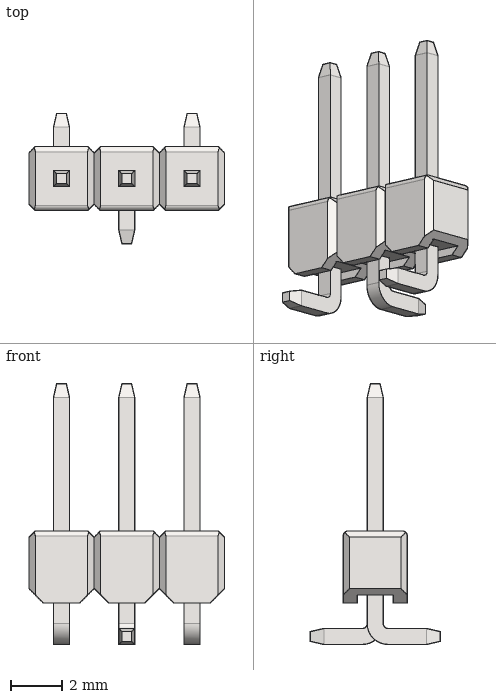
import cadquery as cq
import math

pin_count = 3
pitch = 2.54

pin_height = 10.16
foot_reach = 2.54
wire = 0.63
inner_bend_radius = 0.19
outer_bend_radius = inner_bend_radius + wire
tip_length = 0.54
tip_width = 0.38

housing_width = pitch
housing_depth = 2.5
housing_bottom = 1.61
housing_height = 2.82
edge_chamfer = 0.25
bottom_chamfer = 0.57
top_edge_radius = 0.21
channel_width = 1.4
channel_depth = 0.31


def make_housing():
    """Block centred on the Z axis, the common volume of its outlines along Y, Z and X."""
    half_width = housing_width / 2
    top = housing_bottom + housing_height

    housing = (
        cq.Workplane("XZ")
        .moveTo(-half_width + bottom_chamfer, housing_bottom)
        .lineTo(half_width - bottom_chamfer, housing_bottom)
        .lineTo(half_width, housing_bottom + bottom_chamfer)
        .lineTo(half_width, top - edge_chamfer)
        .lineTo(half_width - edge_chamfer, top)
        .lineTo(-half_width + edge_chamfer, top)
        .lineTo(-half_width, top - edge_chamfer)
        .lineTo(-half_width, housing_bottom + bottom_chamfer)
        .close()
        .extrude(housing_depth / 2, both=True)
    )

    upright_block = (
        cq.Workplane("XY", origin=(0, 0, housing_bottom))
        .rect(housing_width, housing_depth)
        .extrude(housing_height)
        .edges("|Z")
        .chamfer(edge_chamfer)
    )

    rounded_block = (
        cq.Workplane("XY", origin=(0, 0, housing_bottom))
        .rect(housing_width, housing_depth)
        .extrude(housing_height)
        .edges("|X and >Z")
        .fillet(top_edge_radius)
    )

    channel = (
        cq.Workplane("XY", origin=(0, 0, housing_bottom))
        .rect(housing_width, channel_width)
        .extrude(channel_depth)
    )
    pin_hole = (
        cq.Workplane("XY", origin=(0, 0, housing_bottom))
        .rect(wire, wire)
        .extrude(housing_height)
    )
    return housing.intersect(upright_block).intersect(rounded_block).cut(channel).cut(pin_hole)


def make_tip(base_plane):
    """Square end of the wire, tapering away from the base plane."""
    taper_angle = math.degrees(math.atan((wire - tip_width) / 2 / tip_length))
    return cq.Workplane(base_plane).rect(wire, wire).extrude(tip_length, taper=taper_angle)


def make_pin():
    """Upright pin on the Z axis with its foot pointing towards +Y."""
    half_wire = wire / 2
    upright_end = pin_height - tip_length
    foot_end = foot_reach - tip_length
    bend_y = half_wire + inner_bend_radius
    bend_z = wire + inner_bend_radius
    diagonal = math.sqrt(0.5)

    shank = (
        cq.Workplane("YZ")
        .moveTo(half_wire, upright_end)
        .lineTo(half_wire, bend_z)
        .threePointArc(
            (bend_y - inner_bend_radius * diagonal, bend_z - inner_bend_radius * diagonal),
            (bend_y, wire),
        )
        .lineTo(foot_end, wire)
        .lineTo(foot_end, 0)
        .lineTo(bend_y, 0)
        .threePointArc(
            (bend_y - outer_bend_radius * diagonal, bend_z - outer_bend_radius * diagonal),
            (-half_wire, bend_z),
        )
        .lineTo(-half_wire, upright_end)
        .close()
        .extrude(half_wire, both=True)
    )
    top_tip = make_tip(cq.Plane(origin=(0, 0, upright_end), xDir=(1, 0, 0), normal=(0, 0, 1)))
    foot_tip = make_tip(cq.Plane(origin=(0, foot_end, half_wire), xDir=(1, 0, 0), normal=(0, 1, 0)))
    return shank.union(top_tip).union(foot_tip)


housing = make_housing()
pin = make_pin()

bodies = []
for index in range(pin_count):
    place = (pitch * (index - (pin_count - 1) / 2), 0, 0)
    turn = 180 * (index % 2)
    turned_pin = pin.rotate((0, 0, 0), (0, 0, 1), turn)
    bodies.append(housing.translate(place).solids().val())
    bodies.append(turned_pin.translate(place).solids().val())

result = cq.Compound.makeCompound(bodies)